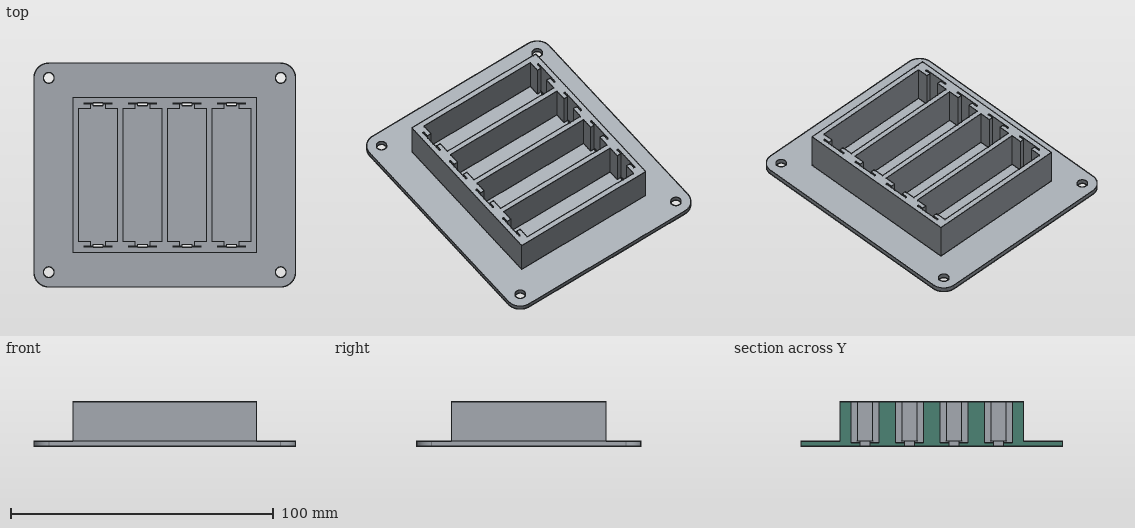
import cadquery as cq

plate_x = 99.7
plate_y = 85.3
plate_thickness = 2.0
corner_radius = 5.7
hole_diameter = 4.0
hole_inset = corner_radius

total_height = 17.0
box_y = 58.9
wall = 2.0
side_wall = 2.1
cell_count = 4
cell_x = 15.0
cell_pitch = cell_x + wall
box_x = cell_count * cell_pitch - wall + 2 * side_wall
cell_y = box_y - 2 * wall
box_height = total_height - plate_thickness

tab_gap = 5.9
tab_front = 2.2
contact_width = 10.6
contact_slot = 0.5
slot_floor_depth = 0.5
lead_width = 3.8
lead_depth = 1.0

cell_centres = [(i - (cell_count - 1) / 2) * cell_pitch for i in range(cell_count)]


def block(size_x, size_y, size_z, centre_x, centre_y, base_z):
    """Box centred at (centre_x, centre_y) and standing on base_z."""
    return (
        cq.Workplane("XY")
        .box(size_x, size_y, size_z, centered=(True, True, False))
        .translate((centre_x, centre_y, base_z))
    )


def flange_plate():
    """Rounded plate with a mounting hole in each corner."""
    return (
        cq.Workplane("XY")
        .box(plate_x, plate_y, plate_thickness, centered=(True, True, False))
        .edges("|Z")
        .fillet(corner_radius)
        .faces(">Z")
        .workplane()
        .rect(plate_x - 2 * hole_inset, plate_y - 2 * hole_inset, forConstruction=True)
        .vertices()
        .hole(hole_diameter)
    )


def divided_box():
    """Outer walls and dividers, open at the top and over the plate."""
    walls = block(box_x, box_y, box_height, 0, 0, plate_thickness)
    for x in cell_centres:
        walls = walls.cut(block(cell_x, cell_y, box_height, x, 0, plate_thickness))
    return walls


def contact_tabs(x, side):
    """Pair of full-height tabs at one end of a cell; side is +1 or -1 along Y."""
    y = side * (cell_y - tab_front) / 2
    tabs = block(cell_x, tab_front, box_height, x, y, plate_thickness)
    return tabs.cut(block(tab_gap, tab_front, box_height, x, y, plate_thickness))


def contact_cutter(x, side):
    """Slot behind the tabs for a flat contact, and the opening for its lead through the plate."""
    slot_y = side * (cell_y - contact_slot) / 2
    slot_base = plate_thickness - slot_floor_depth
    slot = block(contact_width, contact_slot, total_height - slot_base, x, slot_y, slot_base)
    lead_y = side * (cell_y - lead_depth) / 2
    lead = block(lead_width, lead_depth, plate_thickness, x, lead_y, 0)
    return slot.union(lead)


result = flange_plate().union(divided_box())
for cell_centre in cell_centres:
    for end in (-1, 1):
        result = result.union(contact_tabs(cell_centre, end))
        result = result.cut(contact_cutter(cell_centre, end))